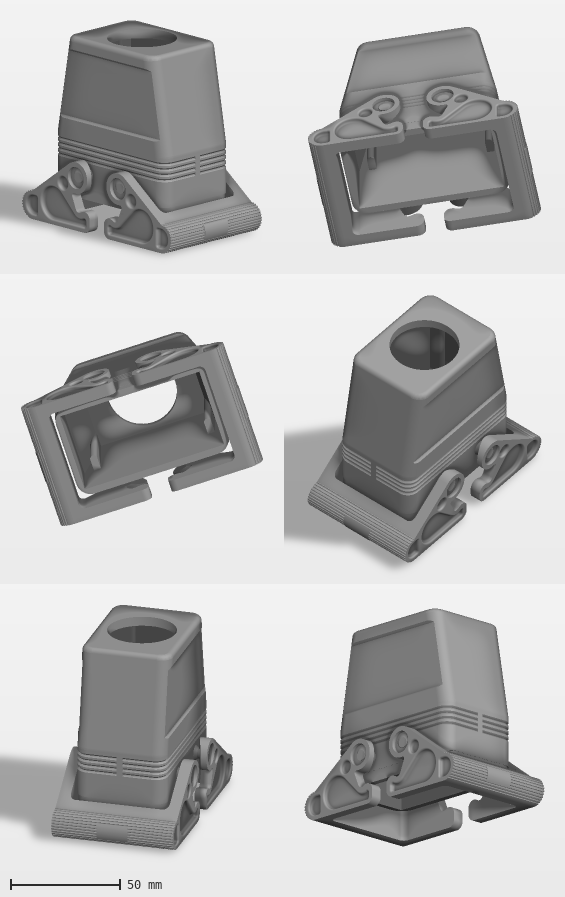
import cadquery as cq
import math

hood_half_x = 36.6
hood_half_y = 21.5
hood_bottom = 12.95
skirt_top = 18.3
taper_start = 42.1
hood_top = 88.5
top_half_x = 28.35
taper_blend_radius = 5.9
hood_corner_radius = 5.9
skirt_corner_radius = 6.8
skirt_inset = 0.1
top_edge_radius = 2.4
wall = 2.9
inner_half_y = 18.1
roof_thickness = 4.4
cable_hole_diameter = 32.1

panel_depth = 1.1
panel_low = 49.1
panel_high = 82.5

groove_count = 4
groove_pitch = 2.55
groove_lowest = 31.3
groove_depth = 0.8
groove_gap = 2.9

rib_thickness = 3.3
rib_face_x = 25.8
rib_tip_y = 11.1
rib_bottom = 42.1

overall_width = 58.0
lever_half_y = overall_width / 2
arm_thickness = 5.4
arm_inner_y = lever_half_y - arm_thickness
bar_inner_x = -37.6
bar_corner_radius = 2.7
overall_length = 98.1

pad_radius = 7.0
pad_half_y = 7.4
pad_half_angle = 33
handle_radius = 6.8
handle_x = pad_radius - overall_length / 2
handle_z = handle_radius
flute_pitch_angle = 12
first_flute_angle = 96
last_flute_angle = 240
flute_radius = 0.4

pivot_x = -13.7
pivot_z = 24.9
pivot_radius = 7.5
top_slope = 36
notch_slope = 67.5

hook_tip_x = -4.7
hook_radius = 3.4
hook_corner_z = 11.9
valley_x = -12.9
valley_z = 8.0
valley_radius = 2.2
notch_radius = 1.1

pocket_depth = 2.2
pocket_rim_round = 0.8
pocket_floor_round = 1.0
drop_x = -28.7
drop_z = 10.1
drop_radius = 7.75
drop_tip_x = -7.4
drop_tip_z = 7.0
drop_valley_x = -12.4
drop_valley_radius = 5.1
drop_tip_round = 1.1
end_pocket_x = -41.7
end_pocket_radius = 4.5
end_pocket_flat_x = -39.0
end_pocket_round = 1.1
dimple_x = -22.3
dimple_z = 20.8
dimple_radius = 3.0

pin_seat_radius = 5.2
pin_seat_depth = 2.0
pin_end_height = 0.5
pin_radius = 2.5
pin_cone_radius = 3.6
pin_cone_length = 1.5
pin_embed = 2.0
pin_foot_radius = 3.3
pin_foot_shift_x = 0.4
pin_foot_shift_z = 0.9
ramp_start_x = -13.4
ramp_depth = 2.55

coincidence = 0.001


def rounded_outline(corners):
    """Closed XZ outline through (x, z, radius) corners, each rounded by a tangent arc."""
    count = len(corners)
    stretches = []
    for i, (x, z, radius) in enumerate(corners):
        corner = cq.Vector(x, z)
        before = (cq.Vector(*corners[i - 1][:2]) - corner).normalized()
        after = (cq.Vector(*corners[(i + 1) % count][:2]) - corner).normalized()
        if radius == 0:
            stretches.append((corner, corner, corner))
            continue
        half_angle = before.getAngle(after) / 2
        setback = radius / math.tan(half_angle)
        apex = radius / math.sin(half_angle) - radius
        bisector = (before + after).normalized()
        stretches.append((corner + before * setback, corner + bisector * apex, corner + after * setback))

    reached = stretches[0][2]
    outline = cq.Workplane("XZ").moveTo(reached.x, reached.y)
    for start, middle, end in stretches[1:] + stretches[:1]:
        if (start - reached).Length > coincidence:
            outline = outline.lineTo(start.x, start.y)
        if (end - start).Length > coincidence:
            outline = outline.threePointArc((middle.x, middle.y), (end.x, end.y))
        reached = end
    return outline.wire()


def mirrored(solid, plane):
    """The solid together with its mirror image."""
    return solid.union(solid.mirror(plane))


def cylinder_y(x, z, radius, y_start, y_end):
    """Cylinder along Y around the point (x, z)."""
    return (
        cq.Workplane("XZ", origin=(0, y_start, 0))
        .center(x, z)
        .circle(radius)
        .extrude(y_start - y_end)
    )


def box_between(x_range, y_range, z_range):
    low, high = zip(x_range, y_range, z_range)
    return cq.Workplane("XY").box(
        high[0] - low[0], high[1] - low[1], high[2] - low[2], centered=False
    ).translate(low)



def rounded_block(half_x, half_y, radius, bottom, height, taper=0):
    outline = cq.Sketch().rect(2 * half_x, 2 * half_y).vertices().fillet(radius)
    return cq.Workplane("XY", origin=(0, 0, bottom)).placeSketch(outline).extrude(height, taper=taper)


def hood_body():
    side_profile = rounded_outline([
        (hood_half_x, skirt_top, 0),
        (hood_half_x, taper_start, taper_blend_radius),
        (top_half_x, hood_top, 0),
        (-top_half_x, hood_top, 0),
        (-hood_half_x, taper_start, taper_blend_radius),
        (-hood_half_x, skirt_top, 0),
    ])
    body = side_profile.extrude(hood_half_y, both=True)
    body = body.edges("not(|X or |Y)").fillet(hood_corner_radius)
    body = body.faces(">Z").edges().fillet(top_edge_radius)
    skirt = rounded_block(
        hood_half_x - skirt_inset, hood_half_y - skirt_inset,
        skirt_corner_radius, hood_bottom, skirt_top - hood_bottom,
    )
    return body.union(skirt)


def panel_recess():
    """Recess with 45 degree upper and lower flanks, across the -Y side."""
    floor_y = panel_depth - hood_half_y
    return (
        cq.Workplane("YZ")
        .moveTo(-hood_half_y, panel_low)
        .lineTo(floor_y, panel_low + panel_depth)
        .lineTo(floor_y, panel_high - panel_depth)
        .lineTo(-hood_half_y, panel_high)
        .close()
        .extrude(hood_half_x, both=True)
    )


def groove_ring(middle_z):
    """Ring of V section around the hood, interrupted in the middle of both end faces."""
    outer = (hood_half_x, hood_half_y, hood_corner_radius)
    ring = rounded_block(*outer, middle_z - groove_depth, 2 * groove_depth)
    waist = [side - groove_depth for side in outer]
    for direction in (1, -1):
        ring = ring.cut(rounded_block(*waist, middle_z, direction * groove_depth, taper=-45))
    bridge = cq.Workplane("XY").box(3 * hood_half_x, groove_gap, hood_top)
    return ring.cut(bridge.translate((0, 0, middle_z)))


def cavity():
    taper_per_height = (hood_half_x - top_half_x) / (hood_top - taper_start)
    ceiling = hood_top - roof_thickness
    ceiling_half_x = top_half_x + taper_per_height * roof_thickness - wall
    straight_half_x = hood_half_x - wall
    space = (
        cq.Workplane("XZ")
        .polyline([
            (straight_half_x, hood_bottom),
            (straight_half_x, taper_start),
            (ceiling_half_x, ceiling),
            (-ceiling_half_x, ceiling),
            (-straight_half_x, taper_start),
            (-straight_half_x, hood_bottom),
        ])
        .close()
        .extrude(inner_half_y, both=True)
    )
    return space.cut(cavity_ribs(ceiling))


def cavity_ribs(ceiling):
    rib_round = rib_thickness / 2
    rib = box_between(
        (rib_face_x, rib_face_x + rib_thickness),
        (rib_tip_y + rib_round, inner_half_y),
        (rib_bottom, ceiling),
    )
    round_end = (
        cq.Workplane("XY", origin=(0, 0, rib_bottom))
        .center(rib_face_x + rib_round, rib_tip_y + rib_round)
        .circle(rib_round)
        .extrude(ceiling - rib_bottom)
    )
    return mirrored(mirrored(rib.union(round_end), "YZ"), "XZ")


def make_hood():
    recess = panel_recess()
    hood = hood_body().cut(recess).cut(recess.mirror("XZ"))
    for i in range(groove_count):
        hood = hood.cut(groove_ring(groove_lowest + i * groove_pitch))
    cable_hole = cq.Workplane("XY").circle(cable_hole_diameter / 2).extrude(hood_top)
    return hood.cut(cavity()).cut(cable_hole)



def lever_profile():
    """Side outline of a lever, filled through the whole width of the part."""
    slope = math.radians(top_slope)
    tangent_x = pivot_x - pivot_radius * math.sin(slope)
    tangent_z = pivot_z + pivot_radius * math.cos(slope)
    slope_end_z = tangent_z - (tangent_x - handle_x) * math.tan(slope)
    notch_z = pivot_z - pivot_radius
    notch_x = valley_x - (notch_z - valley_z) / math.tan(math.radians(notch_slope))
    outline = rounded_outline([
        (handle_x, 0, 0),
        (hook_tip_x, 0, hook_radius),
        (hook_tip_x, hook_corner_z, hook_radius),
        (valley_x, valley_z, valley_radius),
        (notch_x, notch_z, notch_radius),
        (pivot_x, notch_z, 0),
        (pivot_x, pivot_z, 0),
        (tangent_x, tangent_z, 0),
        (handle_x, slope_end_z, 0),
    ])
    profile = outline.extrude(lever_half_y, both=True)
    for x, z, radius in (
        (pivot_x, pivot_z, pivot_radius),
        (handle_x, handle_z, handle_radius),
    ):
        profile = profile.union(cylinder_y(x, z, radius, -lever_half_y, lever_half_y))
    return profile


def drop_pocket():
    """Teardrop with a round end, reaching into the hook."""
    reach = drop_radius * math.sqrt(0.5)
    outline = rounded_outline([
        (drop_x, drop_z - drop_radius, 0),
        (drop_tip_x, drop_z - drop_radius, drop_tip_round),
        (drop_tip_x, drop_tip_z, drop_tip_round),
        (drop_valley_x, drop_x + drop_z + 2 * reach - drop_valley_x, drop_valley_radius),
        (drop_x + reach, drop_z + reach, 0),
        (drop_x, drop_z, 0),
    ])
    round_end = cylinder_y(drop_x, drop_z, drop_radius, 0, pocket_depth)
    return outline.extrude(-pocket_depth).union(round_end).clean()


def end_pocket():
    """D shape inside the round end of the handle bar."""
    bottom_z = handle_z - end_pocket_radius
    top_z = handle_z + end_pocket_radius
    outline = rounded_outline([
        (end_pocket_x - end_pocket_radius, bottom_z, end_pocket_radius),
        (end_pocket_flat_x, bottom_z, end_pocket_round),
        (end_pocket_flat_x, top_z, end_pocket_round),
        (end_pocket_x - end_pocket_radius, top_z, end_pocket_radius),
    ])
    return outline.extrude(-pocket_depth)


def arm_pockets():
    """Pocket shapes in the -Y arm, each with a rounded floor edge."""
    dimple = cylinder_y(dimple_x, dimple_z, dimple_radius, 0, pocket_depth)
    return [
        pocket.faces(">Y").edges().fillet(pocket_floor_round).translate((0, -lever_half_y, 0))
        for pocket in (drop_pocket(), end_pocket(), dimple)
    ]


def pin_seat():
    """Round seat around the pin, with the pin end left standing on a foot that is off centre."""
    floor_y = pin_seat_depth - lever_half_y
    seat = cylinder_y(pivot_x, pivot_z, pin_seat_radius, -lever_half_y, floor_y)
    pin_end = (
        cq.Workplane("XZ", origin=(0, floor_y, 0))
        .center(pivot_x + pin_foot_shift_x, pivot_z + pin_foot_shift_z)
        .circle(pin_foot_radius)
        .workplane(offset=pin_end_height)
        .center(-pin_foot_shift_x, -pin_foot_shift_z)
        .circle(pin_radius)
        .loft()
    )
    return seat.cut(pin_end)


def pivot_ramp():
    """Wedge that bevels the inner face of the arm towards the tip of the pivot eye."""
    tip_x = pivot_x + pivot_radius
    return (
        cq.Workplane("XY", origin=(0, 0, pivot_z - pivot_radius))
        .polyline([
            (ramp_start_x, -arm_inner_y),
            (tip_x, -arm_inner_y - ramp_depth),
            (tip_x, -arm_inner_y),
        ])
        .close()
        .extrude(2 * pivot_radius)
    )


def pivot_pin():
    """Pin from inside the arm to the hood, ending in a cone on the hood wall."""
    pin_root_y = -(hood_half_y - panel_depth + inner_half_y) / 2
    radii_along_y = [
        (pin_radius, -arm_inner_y - pin_embed),
        (pin_radius, -hood_half_y - pin_cone_length),
        (pin_cone_radius, -hood_half_y),
        (pin_cone_radius, pin_root_y),
    ]
    half_section = [(0, radii_along_y[0][1])] + radii_along_y + [(0, radii_along_y[-1][1])]
    pin = cq.Workplane("XY").polyline(half_section).close().revolve(360, (0, 0), (0, 1))
    return pin.translate((pivot_x, 0, pivot_z))


def make_arm(profile):
    slab = box_between(
        (-overall_length, 0), (-lever_half_y, -arm_inner_y), (0, hood_top)
    )
    arm = profile.intersect(slab)
    for pocket in arm_pockets():
        arm = arm.cut(pocket)
    rims = [edge for wire in arm.faces("<Y").val().innerWires() for edge in wire.Edges()]
    arm = arm.newObject(rims).fillet(pocket_rim_round)
    return arm.cut(pin_seat()).cut(pivot_ramp()).union(pivot_pin())


def make_bar(profile):
    opening = box_between(
        (bar_inner_x, 0), (-arm_inner_y, arm_inner_y), (0, hood_top)
    ).edges("|Z and <X").fillet(bar_corner_radius)
    slab = box_between(
        (-overall_length, bar_inner_x + bar_corner_radius), (-arm_inner_y, arm_inner_y), (0, hood_top)
    )
    return profile.intersect(slab).cut(opening)


def grip_flutes():
    """Fine round flutes along the outside of the handle bar."""
    angles = range(first_flute_angle, last_flute_angle + 1, flute_pitch_angle)
    centres = [
        (
            handle_x + handle_radius * math.cos(math.radians(angle)),
            handle_z + handle_radius * math.sin(math.radians(angle)),
        )
        for angle in angles
    ]
    return (
        cq.Workplane("XZ").pushPoints(centres).circle(flute_radius).extrude(lever_half_y, both=True)
    )


def grip_pad():
    """Smooth raised pad in the middle of the fluted handle bar."""
    half_angle = math.radians(pad_half_angle)
    end_x = handle_x - pad_radius * math.cos(half_angle)
    rise = pad_radius * math.sin(half_angle)
    return (
        cq.Workplane("XZ")
        .moveTo(handle_x, handle_z)
        .lineTo(end_x, handle_z + rise)
        .threePointArc((handle_x - pad_radius, handle_z), (end_x, handle_z - rise))
        .close()
        .extrude(pad_half_y, both=True)
    )


def make_lever():
    profile = lever_profile()
    lever = mirrored(make_arm(profile), "XZ").union(make_bar(profile))
    return lever.cut(grip_flutes()).union(grip_pad())


result = make_hood().union(mirrored(make_lever(), "YZ"))